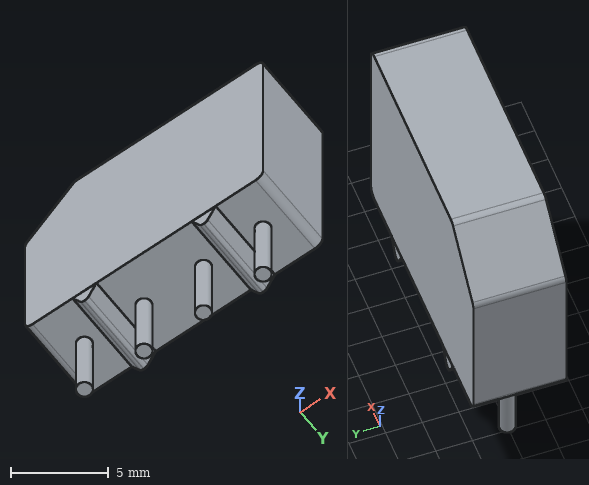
import cadquery as cq

housing_width = 15.24
housing_depth = 5.08
total_height = 16.28
pin_length = 4.59
housing_height = total_height - pin_length
bevel_size = 3.17
corner_radius = 0.49

pin_count = 4
pin_diameter = 0.88
pin_pitch = housing_width / pin_count

foot_offset = pin_pitch
foot_top_width = 1.53
foot_tip_width = 0.36
foot_height = 1.01
foot_tip_radius = 0.3



def make_housing():
    right = housing_width / 2
    left = -right
    outline = [
        (left, 0),
        (right, 0),
        (right, housing_height),
        (left + bevel_size, housing_height),
        (left, housing_height - bevel_size),
    ]
    block = cq.Workplane("XZ").polyline(outline).close().extrude(housing_depth / 2, both=True)
    return block.edges("|Y").fillet(corner_radius)


def make_pin(x):
    return cq.Workplane("XY").center(x, 0).circle(pin_diameter / 2).extrude(-pin_length)


def make_foot(x):
    outline = [
        (x - foot_top_width / 2, 0),
        (x - foot_tip_width / 2, -foot_height),
        (x + foot_tip_width / 2, -foot_height),
        (x + foot_top_width / 2, 0),
    ]
    foot = cq.Workplane("XZ").polyline(outline).close().extrude(housing_depth / 2, both=True)
    return foot.faces("<Z").edges("|Y").fillet(foot_tip_radius)


housing = make_housing()
pins = [make_pin((i - (pin_count - 1) / 2) * pin_pitch) for i in range(pin_count)]
feet = [make_foot(x) for x in (-foot_offset, foot_offset)]

result = cq.Compound.makeCompound([body.val() for body in [housing, *pins, *feet]])